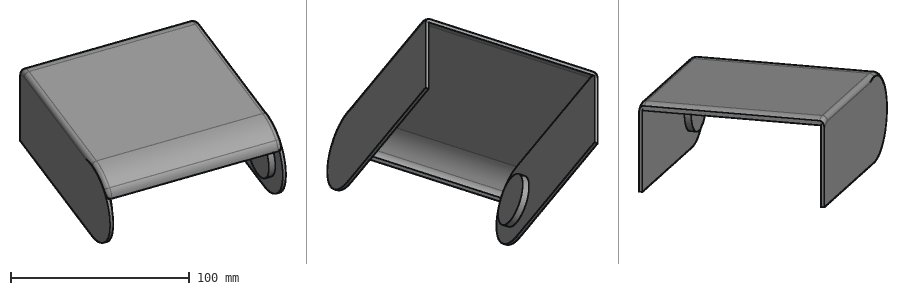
import cadquery as cq
import math

length = 120.0
width = 108.6
height = 52.0
wall = 2.0
edge_fillet = 3.0
corner_radius = 9.0
front_bend_x = 5.3
nose_bend_angle = math.radians(49.2)
skin_end_z = 39.5
skin_end_slope = 1.0
boss_radius = 15.0
boss_depth = 4.0
cutter_margin = 6.0

plate_radius = (height - wall) / 2
nose_x = length - plate_radius
nose_z = plate_radius
nose_radius = height - nose_z
half_width = width / 2
inner_half_width = half_width - wall
front_bend_z = height - corner_radius
rear_bend_x = nose_x + (nose_radius - corner_radius) * math.cos(nose_bend_angle)
rear_bend_z = nose_z + (nose_radius - corner_radius) * math.sin(nose_bend_angle)


def on_circle(x, z, radius, angle):
    return (x + radius * math.cos(angle), z + radius * math.sin(angle))


def skin_profile(inset, end_z):
    """Start an XZ outline along the skin, from the open front to the rear lower edge."""
    bend = corner_radius - inset
    nose = nose_radius - inset
    front_angle = math.acos(-front_bend_x / bend)
    end_angle = math.asin((end_z - rear_bend_z) / bend)
    return (
        cq.Workplane("XZ")
        .moveTo(*on_circle(front_bend_x, front_bend_z, bend, front_angle))
        .threePointArc(
            on_circle(front_bend_x, front_bend_z, bend, (front_angle + math.pi / 2) / 2),
            (front_bend_x, height - inset),
        )
        .lineTo(nose_x, height - inset)
        .threePointArc(
            on_circle(nose_x, nose_z, nose, (math.pi / 2 + nose_bend_angle) / 2),
            on_circle(nose_x, nose_z, nose, nose_bend_angle),
        )
        .threePointArc(
            on_circle(rear_bend_x, rear_bend_z, bend, (nose_bend_angle + end_angle) / 2),
            on_circle(rear_bend_x, rear_bend_z, bend, end_angle),
        )
    )


def side_cylinder(radius, depth, y_start):
    """Cylinder along Y about the nose axis, running from y_start toward +Y."""
    return (
        cq.Workplane("XZ", origin=(nose_x, y_start, nose_z))
        .circle(radius)
        .extrude(-depth)
    )


outer = (
    skin_profile(0, skin_end_z)
    .lineTo(nose_x, nose_z)
    .lineTo(nose_x, 0)
    .lineTo(0, 0)
    .close()
    .extrude(half_width, both=True)
)
outer = outer.faces(">Z").edges("|X").fillet(edge_fillet)

inner_end_z = skin_end_z + skin_end_slope
cavity = (
    skin_profile(wall, inner_end_z)
    .lineTo(rear_bend_x + corner_radius, skin_end_z)
    .lineTo(length, skin_end_z)
    .lineTo(length, -cutter_margin)
    .lineTo(0, -cutter_margin)
    .close()
    .extrude(inner_half_width, both=True)
)
result = outer.cut(cavity)

for plate_start, boss_start in (
    (-half_width, -inner_half_width),
    (inner_half_width, inner_half_width - boss_depth),
):
    result = result.union(side_cylinder(plate_radius, wall, plate_start))
    result = result.union(side_cylinder(boss_radius, boss_depth, boss_start))